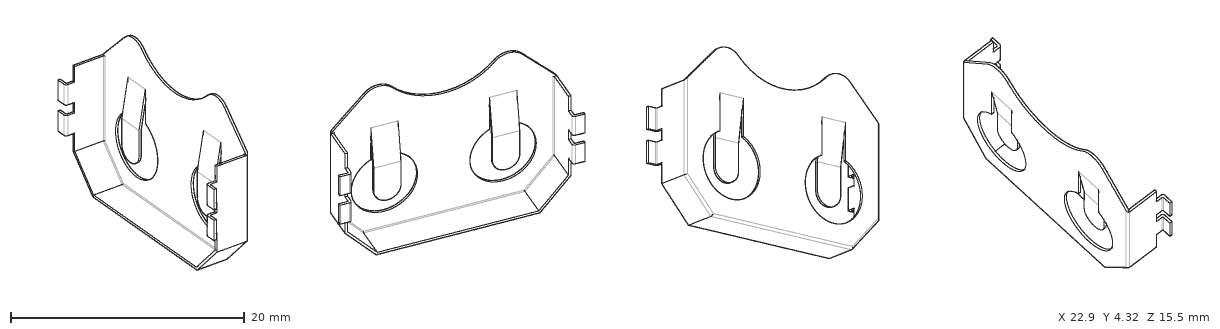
import cadquery as cq
import math


overall_width = 22.85
overall_depth = 4.32
overall_height = 15.5
thickness = 0.25
inner_bend_radius = 0.1
outer_bend_radius = 0.23

body_half_width = 10.54
bottom_half_width = 7.64
corner_height = 3.18
wall_top = 11.73
wall_depth = 3.35

lobe_x = 6.05
lobe_radius = 1.78
scoop_bottom = 12.96

contact_x = 5.53
window_z = 5.0
window_radius = 3.09
tongue_width = 2.54
tongue_top = 11.25
tongue_bend_z = 7.38
tongue_tip = 3.6
tongue_depth = 0.91

lug_width = 2.03
lug_gap = 1.03
lowest_lug_bottom = 5.07
lug_count = 2


def xz_plane(y=0.0):
    """Plane whose extrusions run toward -Y."""
    return cq.Workplane("XZ", origin=(0, y, 0))


def point_on_circle(center, radius, angle):
    return (center[0] + radius * math.cos(angle), center[1] + radius * math.sin(angle))


def mirrored(point):
    return (-point[0], point[1])


def outline():
    """Plate outline: chamfered bottom corners, sloped shoulders, two round lobes and a scoop."""
    lobe = (lobe_x, overall_height - lobe_radius)
    lobe_top = (lobe_x, overall_height)

    rise = lobe[1] - scoop_bottom
    scoop_radius = (lobe_x**2 + rise**2 - lobe_radius**2) / (2 * (rise + lobe_radius))
    scoop_center = (0, scoop_bottom + scoop_radius)
    scoop_angle = math.atan2(scoop_center[1] - lobe[1], -lobe_x)
    scoop_end = point_on_circle(lobe, lobe_radius, scoop_angle)

    run_x = body_half_width - lobe[0]
    run_z = wall_top - lobe[1]
    shoulder_angle = math.atan2(run_z, run_x) + math.acos(lobe_radius / math.hypot(run_x, run_z))
    shoulder_end = point_on_circle(lobe, lobe_radius, shoulder_angle)

    return (
        xz_plane()
        .moveTo(-bottom_half_width, 0)
        .lineTo(bottom_half_width, 0)
        .lineTo(body_half_width, corner_height)
        .lineTo(body_half_width, wall_top)
        .lineTo(*shoulder_end)
        .threePointArc(lobe_top, scoop_end)
        .threePointArc((0, scoop_bottom), mirrored(scoop_end))
        .threePointArc(mirrored(lobe_top), mirrored(shoulder_end))
        .lineTo(-body_half_width, wall_top)
        .lineTo(-body_half_width, corner_height)
        .close()
    )


def cavity():
    """Space between the walls, open at the top and front, with its back edges rounded."""
    above_part = 2 * overall_height
    return (
        xz_plane(-thickness)
        .polyline([
            (-body_half_width, above_part),
            (-body_half_width, corner_height),
            (-bottom_half_width, 0),
            (bottom_half_width, 0),
            (body_half_width, corner_height),
            (body_half_width, above_part),
        ])
        .close()
        .offset2D(-thickness, "intersection")
        .extrude(wall_depth)
        .faces(">Y")
        .edges()
        .fillet(inner_bend_radius)
    )


def shell():
    """Back plate with its folded side, corner and bottom walls."""
    folded_edges = cq.selectors.BoxSelector(
        (-overall_width, -thickness / 2, -thickness),
        (overall_width, thickness / 2, wall_top - thickness),
    )
    above_walls = (
        xz_plane(-thickness)
        .rect(overall_width, overall_height)
        .extrude(wall_depth)
        .translate((0, 0, wall_top + overall_height / 2))
    )
    body = outline().extrude(wall_depth).edges(folded_edges).fillet(outer_bend_radius)
    return body.cut(above_walls).cut(cavity())


def contact_opening(x):
    """Round window joined to the slot from which the tongue is bent."""
    window = xz_plane().center(x, window_z).circle(window_radius).extrude(thickness)
    slot_height = tongue_top - window_z
    slot = (
        xz_plane()
        .center(x, window_z + slot_height / 2)
        .rect(tongue_width, slot_height)
        .extrude(thickness)
    )
    return window.union(slot)


def tongue(x):
    """Spring tongue sloping forward from the plate, then straight down to a round tip."""
    side_profile = (
        cq.Workplane("YZ", origin=(x, 0, 0))
        .polyline([
            (0, tongue_top),
            (-thickness, tongue_top),
            (-tongue_depth, tongue_bend_z),
            (-tongue_depth, tongue_tip),
            (thickness - tongue_depth, tongue_tip),
            (thickness - tongue_depth, tongue_bend_z),
        ])
        .close()
        .extrude(tongue_width / 2, both=True)
    )
    half_width = tongue_width / 2
    tip_start = tongue_tip + half_width
    front_shape = (
        xz_plane()
        .moveTo(x - half_width, tongue_top)
        .lineTo(x - half_width, tip_start)
        .threePointArc((x, tongue_tip), (x + half_width, tip_start))
        .lineTo(x + half_width, tongue_top)
        .close()
        .extrude(tongue_depth)
    )
    return side_profile.intersect(front_shape)


def lug(bottom):
    """Right-hand solder lug: a strip continuing the side wall, bent outward at the front."""
    wall_inside = body_half_width - thickness
    lug_back = thickness - overall_depth
    strip = (
        cq.Workplane("XY", origin=(0, 0, bottom))
        .polyline([
            (wall_inside, -wall_depth),
            (body_half_width, -wall_depth),
            (body_half_width, lug_back),
            (overall_width / 2, lug_back),
            (overall_width / 2, -overall_depth),
            (wall_inside, -overall_depth),
        ])
        .close()
        .extrude(lug_width)
    )
    inner_corner = cq.selectors.NearestToPointSelector(
        (body_half_width, lug_back, bottom + lug_width / 2)
    )
    outer_corner = cq.selectors.NearestToPointSelector(
        (wall_inside, -overall_depth, bottom + lug_width / 2)
    )
    return (
        strip
        .edges(inner_corner)
        .fillet(inner_bend_radius)
        .edges(outer_corner)
        .fillet(outer_bend_radius)
    )


result = shell()

for contact_center in (-contact_x, contact_x):
    result = result.cut(contact_opening(contact_center)).union(tongue(contact_center))

for index in range(lug_count):
    right_lug = lug(lowest_lug_bottom + index * (lug_width + lug_gap))
    result = result.union(right_lug).union(right_lug.mirror("YZ"))